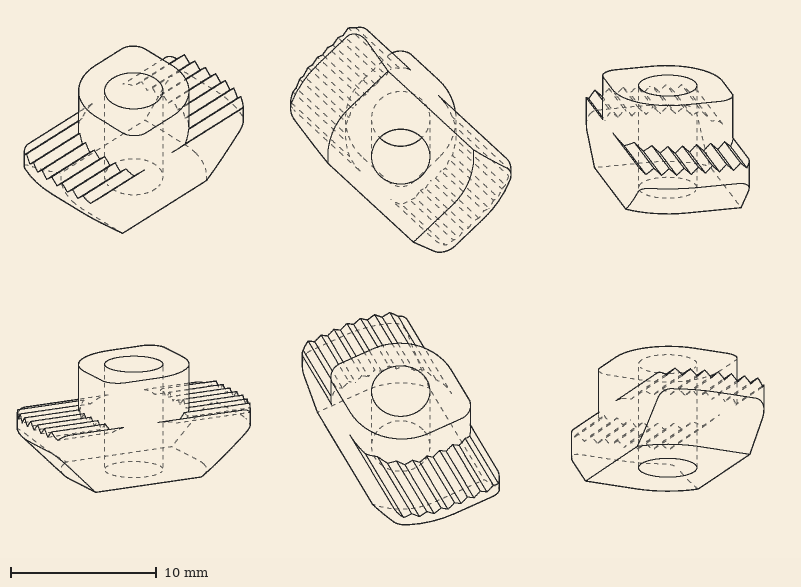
import cadquery as cq
import math

length = 16.0
width = 7.7
height = 7.5
hole_diameter = 4.0
base_corner_radius = 1.0
boss_corner_radius = 1.2
boss_turn_radius = 4.0
bevel_height = 3.0
serration_peak_height = 4.5
serration_pitch = 1.0

half_length = length / 2
half_width = width / 2
bevel_end_y = half_length - bevel_height
end_arc_side_y = math.sqrt(half_length**2 - half_width**2)
serration_depth = serration_pitch / 2
mid_arc_x = half_length * math.sin(math.asin(half_width / half_length) / 2)
mid_arc_y = math.sqrt(half_length**2 - mid_arc_x**2)


def make_base_blank():
    """Plan shape: two opposite corners lie on the turning circle, all corners are rounded."""
    blank = (
        cq.Workplane("XY")
        .moveTo(0, half_length)
        .threePointArc((mid_arc_x, mid_arc_y), (half_width, end_arc_side_y))
        .lineTo(half_width, -half_length)
        .lineTo(0, -half_length)
        .threePointArc((-mid_arc_x, -mid_arc_y), (-half_width, -end_arc_side_y))
        .lineTo(-half_width, half_length)
        .close()
        .extrude(serration_peak_height)
    )
    return blank.edges("|Z and (<X or >X)").fillet(base_corner_radius)


def make_bevel_envelope():
    """Conical bevel below the round ends, joined to flat bevels below the straight ends."""
    cone = (
        cq.Workplane("XZ")
        .polyline([
            (0, 0),
            (bevel_end_y, 0),
            (half_length, bevel_height),
            (half_length, serration_peak_height),
            (0, serration_peak_height),
        ])
        .close()
        .revolve(360, (0, 0, 0), (0, 1, 0))
    )
    wedge = (
        cq.Workplane("YZ")
        .polyline([
            (0, 0),
            (-bevel_end_y, 0),
            (-half_length, bevel_height),
            (-half_length, serration_peak_height),
            (0, serration_peak_height),
        ])
        .close()
        .extrude(half_width)
    )
    opposite_wedge = wedge.rotate((0, 0, 0), (0, 0, 1), 180)
    return cone.union(wedge).union(opposite_wedge)


def cut_serrations(body):
    """Lengthwise V grooves in the clamping face, with a tooth crest on the centre line."""
    grooves_per_side = math.ceil(half_width / serration_pitch)
    valley_z = serration_peak_height - serration_depth
    for index in range(-grooves_per_side, grooves_per_side):
        left_x = index * serration_pitch
        groove = (
            cq.Workplane("XZ")
            .polyline([
                (left_x, serration_peak_height),
                (left_x + serration_pitch / 2, valley_z),
                (left_x + serration_pitch, serration_peak_height),
            ])
            .close()
            .extrude(half_length, both=True)
        )
        body = body.cut(groove)
    return body


def make_boss():
    """Square guide boss with two large turning corners and two small corners.

    It starts level with the groove valleys, so it fills the grooves beneath it.
    """
    start_z = serration_peak_height - serration_depth
    turn_tangent = half_width - boss_turn_radius
    flank_end_y = half_width - base_corner_radius
    corner_center_y = half_width - boss_corner_radius
    corner_center_x = half_width - math.sqrt(
        boss_corner_radius**2 - (flank_end_y - corner_center_y)**2)
    turn_mid = turn_tangent + boss_turn_radius * math.sqrt(0.5)
    corner_mid_x = corner_center_x + boss_corner_radius * math.sqrt(0.5)
    corner_mid_y = corner_center_y + boss_corner_radius * math.sqrt(0.5)
    return (
        cq.Workplane("XY", origin=(0, 0, start_z))
        .moveTo(turn_tangent, half_width)
        .threePointArc((turn_mid, turn_mid), (half_width, turn_tangent))
        .lineTo(half_width, -flank_end_y)
        .threePointArc((corner_mid_x, -corner_mid_y), (corner_center_x, -half_width))
        .lineTo(-turn_tangent, -half_width)
        .threePointArc((-turn_mid, -turn_mid), (-half_width, -turn_tangent))
        .lineTo(-half_width, flank_end_y)
        .threePointArc((-corner_mid_x, corner_mid_y), (-corner_center_x, half_width))
        .close()
        .extrude(height - start_z)
    )


base = make_base_blank().intersect(make_bevel_envelope())
hole = cq.Workplane("XY").circle(hole_diameter / 2).extrude(height)
result = cut_serrations(base).union(make_boss()).cut(hole)